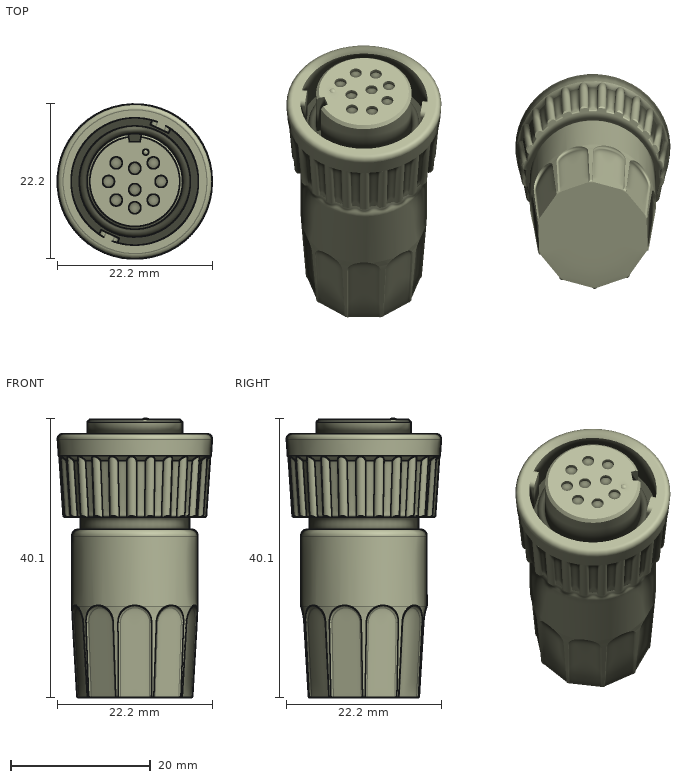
import cadquery as cq
import math

total_height = 40.05

body_radius = 9.05
body_top = 24.15
body_fillet = 1.0
taper_top = 13.1
foot_radius = 8.3
foot_fillet = 0.32
taper_slope = (body_radius - foot_radius) / taper_top

flat_count = 10
flat_half_width = 2.45
flat_arch_center = 10.8
flat_floor_foot_radius = 7.75
flat_corner_radius = 0.34
flat_cut_depth = 2.4
flat_runout = 2.0

neck_radius = 7.85

ring_bottom = 25.85
ring_top = 37.83
ring_diameter = 22.2
ring_radius = ring_diameter / 2
ring_fillet = 0.8
ring_draft = 3.9
ring_foot_edge = 0.2
band_bottom = 34.63
grip_top = 33.95
grip_recess = 0.7
rib_count = 24
rib_width = 1.4
rib_radius = rib_width / 2
rib_inset = 0.1
socket_radius = 9.13
socket_floor = 32.05

rim_outer_radius = 7.95
rim_thickness = 1.12
rim_center_height = 32.75

key_angle = 65.0
key_half_width = 1.45
key_inner_distance = 8.33
key_fillet = 0.75

insert_radius = 6.85
insert_chamfer = 0.4
dot_height = 0.15
insert_top = total_height - dot_height
contact_hole_diameter = 1.72
contact_hole_depth = 0.65
contact_circle_radius = 3.75
contact_places = 8
keyway_angle = 90
upper_contact_y = 1.9
lower_contact_y = -1.15
dot_diameter = 0.85
dot_x = 1.55
dot_y = 4.2
keyway_mouth_half_width = 0.95
keyway_floor_half_width = 0.75
keyway_floor_y = 5.7


def arc_point(center_u, center_v, radius, degrees):
    angle = math.radians(degrees)
    return center_u + radius * math.cos(angle), center_v + radius * math.sin(angle)


def cylinder(radius, bottom, top):
    return cq.Workplane("XY").workplane(offset=bottom).circle(radius).extrude(top - bottom)


def ring_cone_radius(z):
    """Outer radius of the ring, which narrows downward from its top rounding."""
    return ring_radius - (ring_top - ring_fillet - z) * math.tan(math.radians(ring_draft))


def make_body():
    profile = (
        cq.Workplane("XZ")
        .lineTo(foot_radius, 0)
        .lineTo(body_radius, taper_top)
        .lineTo(body_radius, body_top)
        .lineTo(0, body_top)
        .close()
    )
    body = profile.revolve(360, (0, 0), (0, 1))
    body = body.faces(">Z").edges().fillet(body_fillet)
    body = body.faces("<Z").edges().fillet(foot_fillet)
    flat = make_flat_cutter()
    for index in range(flat_count):
        body = body.cut(flat.rotate((0, 0, 0), (0, 0, 1), index * 360 / flat_count))
    return body


def make_flat_cutter():
    tilt = math.atan(taper_slope)
    floor_radius = flat_floor_foot_radius + flat_arch_center * taper_slope
    floor_plane = cq.Plane(
        origin=(0, -floor_radius, flat_arch_center),
        xDir=(1, 0, 0),
        normal=(0, -math.cos(tilt), -math.sin(tilt)),
    )
    lower_end = -flat_arch_center / math.cos(tilt) - flat_runout
    cutter = (
        cq.Workplane(floor_plane)
        .moveTo(-flat_half_width, lower_end)
        .lineTo(flat_half_width, lower_end)
        .lineTo(flat_half_width, 0)
        .threePointArc((0, flat_half_width), (-flat_half_width, 0))
        .close()
        .extrude(flat_cut_depth)
    )
    floor_face = cutter.faces(cq.selectors.DirectionMinMaxSelector(floor_plane.zDir, False))
    return floor_face.edges().fillet(flat_corner_radius)


def make_ring():
    shoulder = ring_top - ring_fillet
    core_foot_radius = ring_cone_radius(ring_bottom) - grip_recess
    foot_edge_top = ring_bottom + ring_foot_edge
    core = (
        cq.Workplane("XZ")
        .moveTo(0, ring_bottom)
        .lineTo(core_foot_radius - ring_foot_edge, ring_bottom)
        .threePointArc(
            arc_point(core_foot_radius - ring_foot_edge, foot_edge_top, ring_foot_edge, -45),
            (core_foot_radius, foot_edge_top),
        )
        .lineTo(ring_cone_radius(grip_top) - grip_recess, grip_top)
        .lineTo(ring_cone_radius(band_bottom), band_bottom)
        .lineTo(ring_radius, shoulder)
        .threePointArc(
            arc_point(ring_radius - ring_fillet, shoulder, ring_fillet, 45),
            (ring_radius - ring_fillet, ring_top),
        )
        .lineTo(0, ring_top)
        .close()
        .revolve(360, (0, 0), (0, 1))
    )
    ring = core.union(make_ribs())
    return ring.cut(cylinder(socket_radius, socket_floor, ring_top)).union(make_keys())


def make_ribs():
    envelope = (
        cq.Workplane("XY")
        .workplane(offset=ring_bottom)
        .circle(ring_cone_radius(ring_bottom) - rib_inset)
        .extrude(band_bottom - ring_bottom, taper=-ring_draft)
        .faces("<Z")
        .edges()
        .chamfer(ring_foot_edge)
    )
    draft = math.radians(ring_draft)
    axis_radius = ring_cone_radius(ring_bottom) - rib_inset - rib_radius / math.cos(draft)
    rib_plane = cq.Plane(
        origin=(axis_radius, 0, ring_bottom),
        xDir=(0, 1, 0),
        normal=(math.sin(draft), 0, math.cos(draft)),
    )
    bar_length = band_bottom - ring_bottom + 2 * rib_radius
    bar = cq.Workplane(rib_plane).workplane(offset=-rib_radius).circle(rib_radius).extrude(bar_length)
    rib = bar.intersect(envelope)
    ribs = cq.Workplane("XY")
    for index in range(rib_count):
        angle = key_angle + (index + 0.5) * 360 / rib_count
        ribs = ribs.add(rib.rotate((0, 0, 0), (0, 0, 1), angle))
    return ribs.combine()


def make_keys():
    key_outer_distance = (socket_radius + ring_radius - ring_fillet) / 2
    key = (
        cq.Workplane("XY")
        .box(
            key_outer_distance - key_inner_distance,
            2 * key_half_width,
            ring_top - socket_floor,
            centered=(False, True, False),
        )
        .translate((key_inner_distance, 0, socket_floor))
        .edges("|X and >Z")
        .fillet(key_fillet)
    )
    key = key.intersect(cylinder(socket_radius, socket_floor, ring_top))
    first_key = key.rotate((0, 0, 0), (0, 0, 1), key_angle)
    return first_key.union(first_key.rotate((0, 0, 0), (0, 0, 1), 180))


def make_rim():
    half_thickness = rim_thickness / 2
    rim_inner_radius = rim_outer_radius - rim_thickness
    return (
        cq.Workplane("XZ")
        .moveTo(0, body_top)
        .lineTo(neck_radius, body_top)
        .lineTo(neck_radius, socket_floor)
        .lineTo(rim_outer_radius, socket_floor)
        .lineTo(rim_outer_radius, rim_center_height)
        .threePointArc(
            (rim_outer_radius - half_thickness, rim_center_height + half_thickness),
            (rim_inner_radius, rim_center_height),
        )
        .lineTo(0, rim_center_height)
        .close()
        .revolve(360, (0, 0), (0, 1))
    )


def make_insert():
    insert = cylinder(insert_radius, rim_center_height, insert_top)
    insert = insert.faces(">Z").edges().chamfer(insert_chamfer)
    contacts = [(0, upper_contact_y), (0, lower_contact_y)]
    for place in range(1, contact_places):
        angle = keyway_angle + place * 360 / contact_places
        contacts.append(arc_point(0, 0, contact_circle_radius, angle))
    holes = (
        cq.Workplane("XY")
        .workplane(offset=insert_top - contact_hole_depth)
        .pushPoints(contacts)
        .circle(contact_hole_diameter / 2)
        .extrude(contact_hole_depth)
    )
    keyway = (
        cq.Workplane("XY")
        .workplane(offset=rim_center_height)
        .moveTo(-keyway_floor_half_width, keyway_floor_y)
        .lineTo(keyway_floor_half_width, keyway_floor_y)
        .lineTo(keyway_mouth_half_width, insert_radius)
        .lineTo(-keyway_mouth_half_width, insert_radius)
        .close()
        .extrude(insert_top - rim_center_height)
    )
    return insert.cut(holes).cut(keyway).union(make_dot())


def make_dot():
    """Shallow spherical cap beside the keyway."""
    dot_radius = dot_diameter / 2
    sphere_radius = (dot_radius**2 + dot_height**2) / (2 * dot_height)
    return cq.Workplane("XY").sphere(sphere_radius).translate((dot_x, dot_y, total_height - sphere_radius))


result = make_body().union(make_rim()).union(make_ring()).union(make_insert())